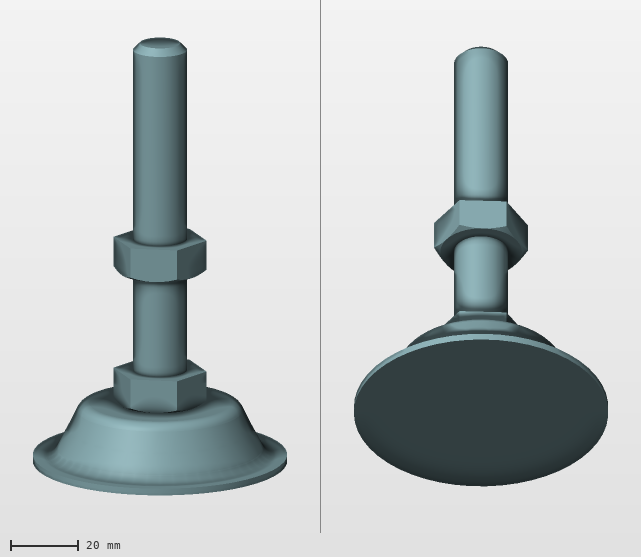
import cadquery as cq
import math

total_height = 128.0
flange_diameter = 75.0
flange_thickness = 2.0
plate_height = 18.0
cone_bottom_radius = 31.5
cone_top_radius = 23.4
cone_fillet = 4.0

stud_diameter = 16.0
stud_chamfer = 2.0

nut_across_flats = 24.0
nut_height = 10.0
nut_chamfer_angle = 30.0
nut_spacing = 40.0
nut_count = 2


def make_foot_plate():
    """Round flange with a raised cone, blended into the flange and rounded at its top."""
    plate = (
        cq.Workplane("XZ")
        .moveTo(0, 0)
        .lineTo(flange_diameter / 2, 0)
        .lineTo(flange_diameter / 2, flange_thickness)
        .lineTo(cone_bottom_radius, flange_thickness)
        .lineTo(cone_top_radius, plate_height)
        .lineTo(0, plate_height)
        .close()
        .revolve(360, (0, 0), (0, 1))
    )
    top_edge = plate.edges(cq.selectors.RadiusNthSelector(0))
    root_edge = plate.edges(cq.selectors.RadiusNthSelector(1))
    return top_edge.add(root_edge).fillet(cone_fillet)


def make_stud():
    """Plain rod standing on the foot plate, chamfered at its upper end."""
    return (
        cq.Workplane("XY", origin=(0, 0, plate_height))
        .circle(stud_diameter / 2)
        .extrude(total_height - plate_height)
        .faces(">Z")
        .chamfer(stud_chamfer)
    )


def make_nut(bottom_height):
    """Hexagon nut with corners on the X axis and a conical chamfer on its lower face."""
    corner_radius = nut_across_flats / math.sqrt(3)
    flat_radius = nut_across_flats / 2
    chamfer_height = (corner_radius - flat_radius) * math.tan(math.radians(nut_chamfer_angle))
    hexagon = cq.Workplane("XY").polygon(6, 2 * corner_radius).extrude(nut_height)
    chamfer_envelope = (
        cq.Workplane("XZ")
        .moveTo(0, 0)
        .lineTo(flat_radius, 0)
        .lineTo(corner_radius, chamfer_height)
        .lineTo(corner_radius, nut_height)
        .lineTo(0, nut_height)
        .close()
        .revolve(360, (0, 0), (0, 1))
    )
    bore = cq.Workplane("XY").circle(stud_diameter / 2).extrude(nut_height)
    nut = hexagon.intersect(chamfer_envelope).cut(bore)
    return nut.translate((0, 0, bottom_height))


foot_plate = make_foot_plate()
stud = make_stud()
nuts = []
for index in range(nut_count):
    nuts.append(make_nut(plate_height + index * nut_spacing).val())

result = cq.Compound.makeCompound([foot_plate.val(), stud.val(), *nuts])